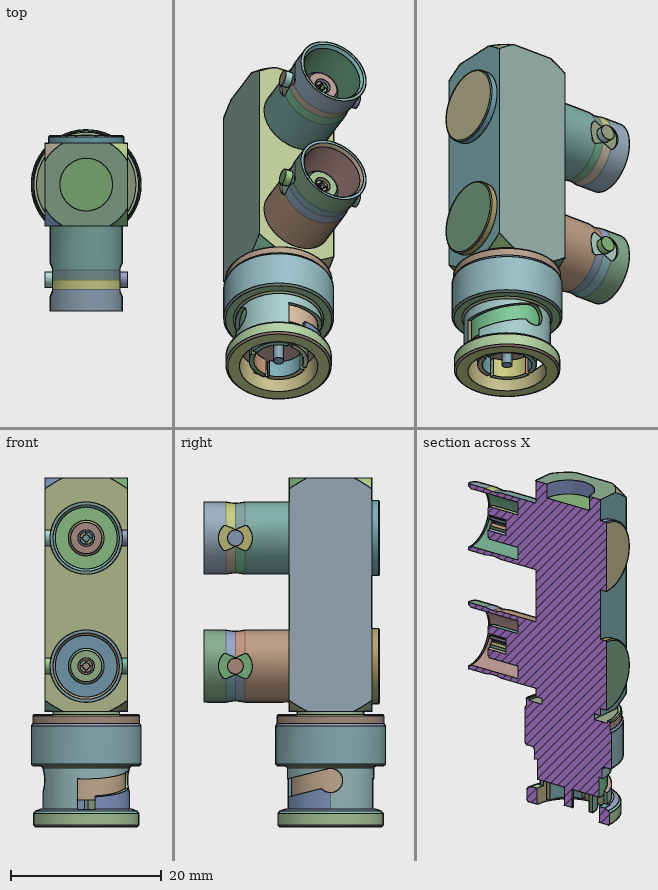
import cadquery as cq
import math


BODY_WIDTH = 11.0
BODY_BOTTOM = 15.35
BODY_TOP = 46.35
CORNER_CONE_RADIUS = 6.3
RECESS_DIAMETER = 7.0
RECESS_DEPTH = 2.0

CAP_RADIUS = 5.0
CAP_HEIGHT = 1.0
CAP_CHAMFER = 0.15

JACK_HEIGHTS = (21.35, 38.35)
JACK_ROOT = 4.0
JACK_END = 16.8
JACK_RADIUS = 4.8
JACK_BORE_RADIUS = 4.1
JACK_BORE_DEPTH = 8.3
JACK_MOUTH_RADIUS = 4.4
JACK_MOUTH_DEPTH = 0.5
GROOVE_OFFSET = 12.63
GROOVE_HALF_WIDTH = 1.27
GROOVE_DEPTH = 0.17
STUD_DIAMETER = 2.1
STUD_SPAN = 11.0
STUD_ROOT = 4.3
SPOT_DIAMETER = 4.5
SPOT_FLAT = 4.5

DIELECTRIC_RADIUS = 2.37
DIELECTRIC_CHAMFER = 0.3
DIELECTRIC_RECESS = 3.3
SOCKET_HOLE_RADIUS = 1.09
SOCKET_HOLE_DEPTH = 3.0
SOCKET_RADIUS = 0.85
SOCKET_BORE_RADIUS = 0.45
SOCKET_SETBACK = 0.3
SOCKET_SLOT_WIDTH = 0.2

RIM_RADIUS = 7.0
RIM_CHAMFER = 0.25
RIM_SHOULDER = 1.8
RIM_BEVEL_RADIUS = 6.75
RIM_BEVEL_HEIGHT = 2.1
RIM_BEVEL_END = 6.05
SLEEVE_RADIUS = 5.75
SLEEVE_BOTTOM = 2.4
SLEEVE_TOP = 7.85
GRIP_RADIUS = 7.3
GRIP_BOTTOM = 8.1
GRIP_CHAMFER = 0.25
GRIP_TOP = 13.4
COLLAR_RADIUS = 7.1
COLLAR_BOTTOM = 13.75
COLLAR_TOP = 14.9
COLLAR_CHAMFER = 0.15
COLLAR_RECESS_RADIUS = 6.6
COLLAR_RECESS_DEPTH = 0.3
NECK_RADIUS = 4.43
PLUG_BORE_RADIUS = 5.2
PLUG_BORE_DEPTH = 3.6

SLOT_WIDTH = 2.35
SLOT_ENTRY_BOTTOM = 2.35
LATCH_HEIGHT = 6.17
LATCH_RADIUS = 1.6
SLOT_SLOPE = 14.0

CONTACT_RADIUS = 3.9
CONTACT_BORE_RADIUS = 3.3
CONTACT_END = 1.0
CONTACT_SLIT_WIDTH = 0.5
PIN_RADIUS = 0.68


def cylinder_y(radius, y_start, y_end, height):
    """Cylinder along Y between two Y positions, at the given Z."""
    plane = cq.Workplane("XZ", origin=(0, y_start, height))
    return plane.circle(radius).extrude(y_start - y_end)


def cylinder_z(radius, bottom, top):
    return cq.Workplane("XY", origin=(0, 0, bottom)).circle(radius).extrude(top - bottom)


def revolved_about_z(profile):
    """Solid of revolution from (radius, Z) points."""
    return cq.Workplane("XZ").polyline(profile).close().revolve(360, (0, 0, 0), (0, 1, 0))


def make_body():
    length = BODY_TOP - BODY_BOTTOM
    body = cq.Workplane("XY", origin=(0, 0, BODY_BOTTOM)).box(
        BODY_WIDTH, BODY_WIDTH, length, centered=(True, True, False)
    )
    envelope_radius = BODY_WIDTH
    cone_height = envelope_radius - CORNER_CONE_RADIUS
    envelope = cylinder_z(envelope_radius, BODY_BOTTOM, BODY_TOP)
    body = body.intersect(envelope.faces("<Z or >Z").chamfer(cone_height))
    recess = cylinder_z(RECESS_DIAMETER / 2, BODY_TOP - RECESS_DEPTH, BODY_TOP)
    return body.cut(recess)


def make_cap(height):
    face = BODY_WIDTH / 2
    cap = cylinder_y(CAP_RADIUS, face + CAP_HEIGHT, face, height)
    return cap.faces(">Y").chamfer(CAP_CHAMFER)


def make_jack_shell():
    """Hollow jack sleeve about the Z axis, mouth at the top at Z = JACK_END."""
    floor = JACK_END - JACK_BORE_DEPTH
    shell = revolved_about_z([
        (0, JACK_ROOT),
        (JACK_RADIUS, JACK_ROOT),
        (JACK_RADIUS, GROOVE_OFFSET - GROOVE_HALF_WIDTH),
        (JACK_RADIUS - GROOVE_DEPTH, GROOVE_OFFSET),
        (JACK_RADIUS, GROOVE_OFFSET + GROOVE_HALF_WIDTH),
        (JACK_RADIUS, JACK_END),
        (JACK_MOUTH_RADIUS, JACK_END),
        (JACK_BORE_RADIUS, JACK_END - JACK_MOUTH_DEPTH),
        (JACK_BORE_RADIUS, floor),
        (0, floor),
    ])
    return shell.rotate((0, 0, 0), (0, 0, 1), 90)


def add_studs(jack):
    """Two opposite bayonet studs, each standing on a round flat."""
    for side in (1, -1):
        spot_plane = cq.Workplane("YZ", origin=(side * SPOT_FLAT, 0, GROOVE_OFFSET))
        jack = jack.cut(spot_plane.circle(SPOT_DIAMETER / 2).extrude(side * JACK_RADIUS))
        stud_plane = cq.Workplane("YZ", origin=(side * STUD_ROOT, 0, GROOVE_OFFSET))
        stud_length = STUD_SPAN / 2 - STUD_ROOT
        jack = jack.union(stud_plane.circle(STUD_DIAMETER / 2).extrude(side * stud_length))
    return jack


def make_socket():
    """Dielectric post with a slotted socket contact sunk in its tip."""
    tip = JACK_END - DIELECTRIC_RECESS
    hole_floor = tip - SOCKET_HOLE_DEPTH
    post = cylinder_z(DIELECTRIC_RADIUS, JACK_END - JACK_BORE_DEPTH, tip)
    post = post.faces(">Z").chamfer(DIELECTRIC_CHAMFER)
    post = post.cut(cylinder_z(SOCKET_HOLE_RADIUS, hole_floor, tip))
    contact_tip = tip - SOCKET_SETBACK
    contact = cylinder_z(SOCKET_RADIUS, hole_floor, contact_tip)
    contact = contact.cut(cylinder_z(SOCKET_BORE_RADIUS, hole_floor, contact_tip))
    slot = cq.Workplane("XY", origin=(0, 0, hole_floor)).box(
        2 * SOCKET_RADIUS, SOCKET_SLOT_WIDTH, SOCKET_HOLE_DEPTH, centered=(True, True, False)
    )
    for angle in (0, 90):
        contact = contact.cut(slot.rotate((0, 0, 0), (0, 0, 1), angle))
    return post.union(contact)


def make_jack(height):
    jack = add_studs(make_jack_shell()).union(make_socket())
    return jack.rotate((0, 0, 0), (1, 0, 0), 90).translate((0, 0, height))


def make_coupling_ring():
    recess_floor = COLLAR_TOP - COLLAR_RECESS_DEPTH
    ring = revolved_about_z([
        (PLUG_BORE_RADIUS, 0),
        (RIM_RADIUS - RIM_CHAMFER, 0),
        (RIM_RADIUS, RIM_CHAMFER),
        (RIM_RADIUS, RIM_SHOULDER),
        (RIM_BEVEL_RADIUS, RIM_BEVEL_HEIGHT),
        (RIM_BEVEL_END, SLEEVE_BOTTOM),
        (SLEEVE_RADIUS, SLEEVE_BOTTOM),
        (SLEEVE_RADIUS, SLEEVE_TOP),
        (SLEEVE_RADIUS + GRIP_BOTTOM - SLEEVE_TOP, GRIP_BOTTOM),
        (GRIP_RADIUS - GRIP_CHAMFER, GRIP_BOTTOM),
        (GRIP_RADIUS, GRIP_BOTTOM + GRIP_CHAMFER),
        (GRIP_RADIUS, GRIP_TOP),
        (COLLAR_RADIUS, COLLAR_BOTTOM),
        (COLLAR_RADIUS, COLLAR_TOP - COLLAR_CHAMFER),
        (COLLAR_RADIUS - COLLAR_CHAMFER, COLLAR_TOP),
        (COLLAR_RECESS_RADIUS, COLLAR_TOP),
        (COLLAR_RECESS_RADIUS, recess_floor),
        (PLUG_BORE_RADIUS, recess_floor),
    ])
    slot = make_bayonet_slot()
    for angle in (0, 180):
        ring = ring.cut(slot.rotate((0, 0, 0), (0, 0, 1), angle))
    return ring


def make_bayonet_slot():
    """Cutter for the slot that enters at -Y, climbs toward +X and ends in a round latch there."""
    half_width = SLOT_WIDTH / 2
    slope = math.radians(SLOT_SLOPE)
    rise = GRIP_RADIUS * math.tan(slope)
    ramp_top = LATCH_HEIGHT + LATCH_RADIUS / math.cos(slope)
    ramp_bottom = ramp_top - SLOT_WIDTH / math.cos(slope)
    side_plane = cq.Workplane("YZ", origin=(-half_width, 0, 0))
    tangent_y = -LATCH_RADIUS * math.sin(slope)
    ramp = side_plane.polyline([
        (tangent_y, ramp_top + tangent_y * math.tan(slope)),
        (-GRIP_RADIUS, ramp_top - rise),
        (-GRIP_RADIUS, ramp_bottom - rise),
        (0, ramp_bottom),
        (0, LATCH_HEIGHT),
    ]).close().extrude(GRIP_RADIUS + half_width)
    latch = cq.Workplane("YZ", origin=(0, 0, LATCH_HEIGHT)).circle(LATCH_RADIUS).extrude(GRIP_RADIUS)
    entry_top = ramp_bottom - SLEEVE_RADIUS * math.tan(slope) + half_width
    entry = cq.Workplane("XY", origin=(0, -GRIP_RADIUS / 2, SLOT_ENTRY_BOTTOM)).box(
        SLOT_WIDTH, GRIP_RADIUS, entry_top - SLOT_ENTRY_BOTTOM, centered=(True, True, False)
    )
    return ramp.union(latch).union(entry)


def make_plug_core():
    """Solid core of the plug, its neck, and the slit contact sleeve and pin in the mouth."""
    recess_floor = COLLAR_TOP - COLLAR_RECESS_DEPTH
    core = cylinder_z(PLUG_BORE_RADIUS, PLUG_BORE_DEPTH, recess_floor)
    neck = cylinder_z(NECK_RADIUS, recess_floor, BODY_BOTTOM)
    contact = cylinder_z(CONTACT_RADIUS, CONTACT_END, PLUG_BORE_DEPTH)
    contact = contact.cut(cylinder_z(CONTACT_BORE_RADIUS, CONTACT_END, PLUG_BORE_DEPTH))
    slit = cq.Workplane("XY", origin=(0, 0, CONTACT_END)).box(
        2 * CONTACT_RADIUS, CONTACT_SLIT_WIDTH, PLUG_BORE_DEPTH - CONTACT_END,
        centered=(True, True, False),
    )
    for angle in (0, 90):
        contact = contact.cut(slit.rotate((0, 0, 0), (0, 0, 1), angle))
    pin = cylinder_z(PIN_RADIUS, CONTACT_END, PLUG_BORE_DEPTH)
    return core.union(neck).union(contact).union(pin)


result = make_body()
for jack_height in JACK_HEIGHTS:
    result = result.union(make_cap(jack_height)).union(make_jack(jack_height))
result = result.union(make_plug_core()).union(make_coupling_ring())